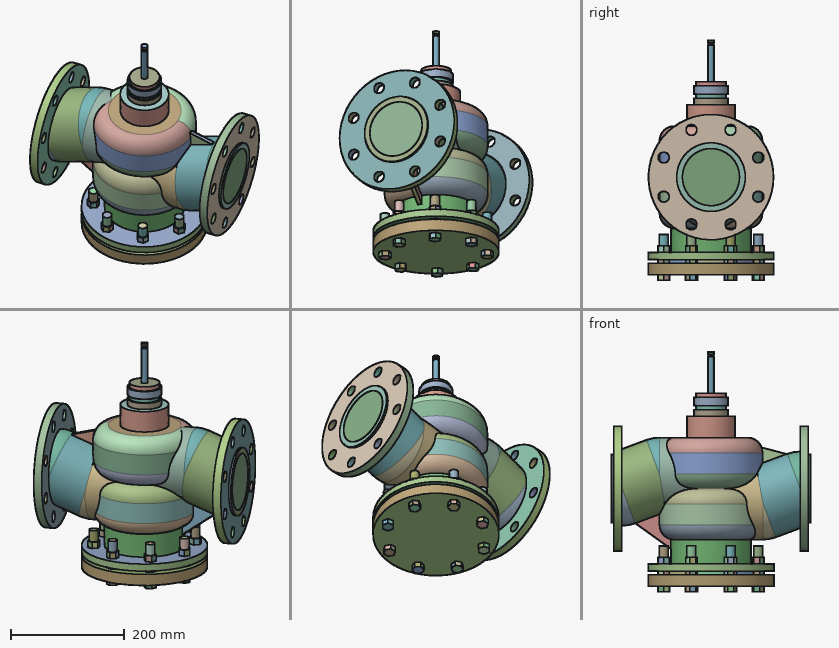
import cadquery as cq
import math

port_face_to_face = 350.0
port_flange_dia = 220.0
port_flange_thick = 14.8
raised_face_dia = 120.5
raised_face_height = 4.0
raised_face_recess_dia = 100.5
raised_face_recess_depth = 0.5
port_hole_dia = 19.0

bolt_count = 8
bolt_circle_radius = 89.8
first_bolt_angle = 180 / bolt_count

bowl_radius = 90.5
bowl_height = 89.8
bowl_fillet = 26.5
pipe_radius = 65.5

gland_dia = 85.0
gland_top = 127.5
collar_dia = 60.0
collar_groove_dia = 53.0
collar_edges = (138.5, 146.0, 160.0, 167.8)
stem_dia = 11.5
stem_neck_dia = 7.5
stem_top = 240.3
stem_head_height = 4.5
stem_neck_taper = 1.5
stem_neck_height = 4.2

neck_dia = 140.8
gasket_dia = 166.5
base_dia = 221.3
upper_flange_top = -132.0
upper_flange_thick = 13.0
flange_gap = 6.0
cover_thick = 20.5

stud_dia = 16.0
stud_top = -100.5
hex_across_flats = 18.5
nut_height = 11.5
bolt_head_height = 9.5

rib_thick = 7.5
upper_rib_outer = (132.0, 61.0)
upper_rib_inner = (bowl_radius, 72.0)
lower_rib_outer = (-134.5, -60.0)
lower_rib_inner = (-68.3, -107.5)

raised_face_x = port_face_to_face / 2
flange_front_x = raised_face_x - raised_face_height
flange_back_x = flange_front_x - port_flange_thick
pipe_offset = bowl_height - pipe_radius
upper_flange_bottom = upper_flange_top - upper_flange_thick
cover_top = upper_flange_bottom - flange_gap
cover_bottom = cover_top - cover_thick
base_bottom = cover_bottom - bolt_head_height


def upright(dia, bottom, top):
    """Vertical cylinder on the stem axis."""
    return cq.Workplane("XY").workplane(offset=bottom).circle(dia / 2).extrude(top - bottom)


def bowl(bottom):
    """Round chamber with rounded upper and lower rims."""
    return upright(2 * bowl_radius, bottom, bottom + bowl_height).edges().fillet(bowl_fillet)


def pipe_run(start, end):
    """Straight pipe between two (x, z) points in the XZ plane."""
    run_x = end[0] - start[0]
    run_z = end[1] - start[1]
    return cq.Workplane(
        cq.Solid.makeCylinder(
            pipe_radius,
            math.hypot(run_x, run_z),
            cq.Vector(start[0], 0, start[1]),
            cq.Vector(run_x, 0, run_z),
        )
    )


def pipe_joint(point):
    """Ball that rounds the outside of a pipe bend."""
    return cq.Workplane("XY").sphere(pipe_radius).translate((point[0], 0, point[1]))


def inlet_pipe():
    """Cranked pipe from the -X flange up into the upper bowl."""
    flange_end = (-flange_back_x, 0)
    bend = (-bowl_radius, pipe_offset)
    bowl_centre = (0, pipe_offset)
    pipe = pipe_run(flange_end, bend).union(pipe_joint(bend)).union(pipe_run(bend, bowl_centre))
    ball = pipe_joint(flange_end)
    flange_side = (
        cq.Workplane("YZ").workplane(offset=-flange_back_x)
        .circle(2 * pipe_radius).extrude(-2 * pipe_radius)
    )
    return pipe.union(ball).cut(flange_side)


def port_flange():
    """Drilled flange at the -X end with a raised, shallowly recessed face."""
    plate = (
        cq.Workplane("YZ").workplane(offset=-flange_front_x)
        .circle(port_flange_dia / 2).extrude(port_flange_thick)
    )
    face = (
        cq.Workplane("YZ").workplane(offset=-raised_face_x)
        .circle(raised_face_dia / 2).extrude(raised_face_height)
    )
    recess = (
        cq.Workplane("YZ").workplane(offset=-raised_face_x)
        .circle(raised_face_recess_dia / 2).extrude(raised_face_recess_depth)
    )
    holes = (
        cq.Workplane("YZ").workplane(offset=-flange_front_x)
        .polarArray(bolt_circle_radius, first_bolt_angle, 360, bolt_count)
        .circle(port_hole_dia / 2).extrude(port_flange_thick)
    )
    return plate.union(face).cut(recess).cut(holes)


def rib(outer, inner):
    """Flat web in the XZ plane; its free edge runs from the pipe to the body."""
    points = [outer, inner, (0, inner[1]), (0, 0), (outer[0], 0)]
    return cq.Workplane("XZ").polyline(points).close().extrude(rib_thick / 2, both=True)


def stem_and_gland():
    """Gland, grooved collar and valve stem on top of the upper bowl."""
    gland = upright(gland_dia, bowl_height, gland_top)
    lower_ring_top, upper_ring_bottom, upper_ring_top, collar_top = collar_edges
    collar = (
        upright(collar_dia, gland_top, lower_ring_top)
        .union(upright(collar_groove_dia, lower_ring_top, collar_top))
        .union(upright(collar_dia, upper_ring_bottom, upper_ring_top))
    )
    head_bottom = stem_top - stem_head_height
    neck_bottom = head_bottom - stem_neck_height
    stem_profile = [
        (0, collar_top),
        (stem_dia / 2, collar_top),
        (stem_dia / 2, neck_bottom),
        (stem_neck_dia / 2, neck_bottom + stem_neck_taper),
        (stem_neck_dia / 2, head_bottom - stem_neck_taper),
        (stem_dia / 2, head_bottom),
        (stem_dia / 2, stem_top),
        (0, stem_top),
    ]
    stem = cq.Workplane("XZ").polyline(stem_profile).close().revolve(360, (0, 0, 0), (0, 1, 0))
    return gland.union(collar).union(stem)


def stud():
    """Stud on the +X axis: hexagon from bolt head to nut, round above."""
    half_hex_angle = 30
    across_corners = hex_across_flats / math.cos(math.radians(half_hex_angle))
    nut_top = upper_flange_top + nut_height
    hexagon = (
        cq.Workplane("XY").workplane(offset=base_bottom)
        .polygon(6, across_corners).extrude(nut_top - base_bottom)
        .rotate((0, 0, 0), (0, 0, 1), half_hex_angle - first_bolt_angle)
    )
    shank = upright(stud_dia, nut_top, stud_top)
    return hexagon.union(shank).translate((bolt_circle_radius, 0, 0))


def base():
    """Neck, flange, gasket and bolted cover below the lower bowl."""
    body = (
        upright(neck_dia, upper_flange_bottom, -bowl_height)
        .union(upright(gasket_dia, cover_top, upper_flange_bottom))
        .union(upright(base_dia, upper_flange_bottom, upper_flange_top))
        .union(upright(base_dia, cover_bottom, cover_top))
    )
    for index in range(bolt_count):
        angle = first_bolt_angle + index * 360 / bolt_count
        body = body.union(stud().rotate((0, 0, 0), (0, 0, 1), angle))
    return body


inlet = inlet_pipe().union(port_flange())
outlet = inlet.rotate((0, 0, 0), (0, 1, 0), 180)

upper_rib = rib(upper_rib_outer, upper_rib_inner)
lower_rib = rib(lower_rib_outer, lower_rib_inner)

result = (
    bowl(0)
    .union(bowl(-bowl_height))
    .union(inlet)
    .union(outlet)
    .union(upper_rib)
    .union(lower_rib)
    .union(stem_and_gland())
    .union(base())
)